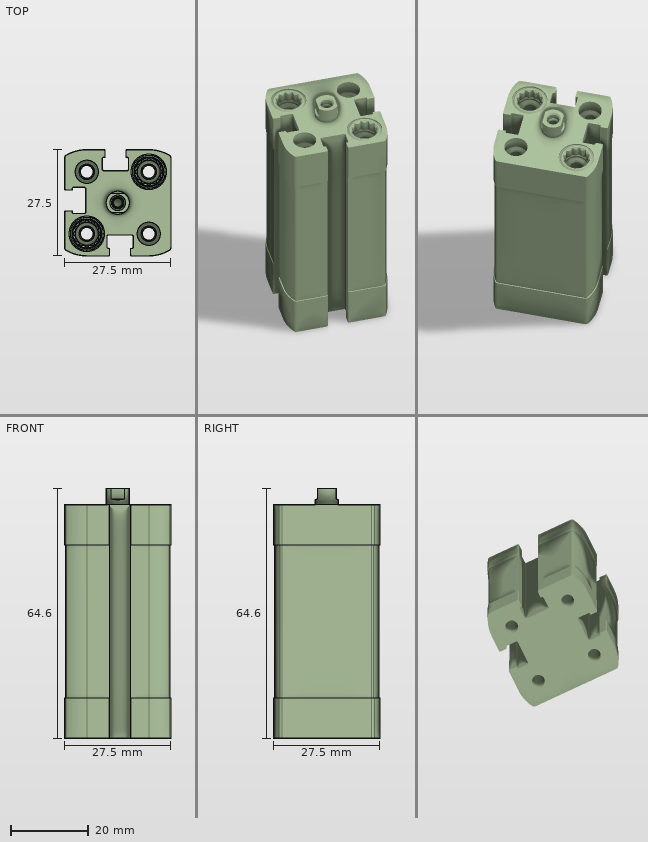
import cadquery as cq
import math

total_height = 64.6
width = 27.5
rod_projection = 4.2
housing_height = total_height - rod_projection
cap_height = 10.45
barrel_height = housing_height - 2 * cap_height
barrel_inset = 0.25

half_width = width / 2
corner_arc_radius = 10.5
corner_arc_center = 8.0
corner_blend_radius = 0.85

slot_depth = 5.4
slot_lip = 2.0
slot_mouth_width = 5.35
slot_inner_width = 6.7
slot_mouth_rounding = 0.3
slot_inner_fillet = 0.3
slot_offset = 0.6
slots = [(0, -slot_offset), (90, slot_offset), (180, -slot_offset)]

hole_spacing = 16.0
hole_position = hole_spacing / 2
hole_diameter = 3.3
hole_chamfer_diameter = 4.0
counterbore_diameter = 6.0
counterbore_depth = 3.5
counterbored_corners = [(-hole_position, hole_position), (hole_position, -hole_position)]
socket_corners = [(-hole_position, -hole_position), (hole_position, hole_position)]

groove_outer_radius = 4.6
groove_floor_radius = 4.25
groove_inner_radius = 3.9
groove_depth = groove_floor_radius - groove_inner_radius
socket_points = 12
socket_valley_radius = 3.55
socket_ridge_radius = 3.05
socket_ridge_angle = 45.0
socket_depth = 2.9
socket_countersink_radius = 3.6
socket_floor_radius = 3.0

rod_diameter = 6.0
rod_flats = 4.9
rod_flat_length = 3.0
rod_flat_slope = 0.25
rod_insertion = cap_height
rod_length = rod_projection + rod_insertion
thread_chamfer_radius = 2.0
thread_relief_radius = 1.6
thread_relief_depth = 1.8
thread_ledge_radius = 1.35
thread_core_diameter = 2.25
thread_core_radius = thread_core_diameter / 2
thread_core_depth = 5.8
drill_slope = math.tan(math.radians(30))


def housing_outline(inset):
    """Square prism section with the four corners rounded by large arcs."""
    side = half_width - inset
    radius = corner_arc_radius - inset
    arc_run = side - corner_arc_center
    corner_y = side - radius + math.sqrt(radius**2 - arc_run**2)
    mid_run = arc_run / 2
    mid_x = corner_arc_center + mid_run
    mid_y = side - radius + math.sqrt(radius**2 - mid_run**2)
    return (
        cq.Workplane("XY")
        .moveTo(-corner_arc_center, side)
        .lineTo(corner_arc_center, side)
        .threePointArc((mid_x, mid_y), (side, corner_y))
        .lineTo(side, -corner_y)
        .threePointArc((mid_x, -mid_y), (corner_arc_center, -side))
        .lineTo(-corner_arc_center, -side)
        .threePointArc((-mid_x, -mid_y), (-side, -corner_y))
        .lineTo(-side, corner_y)
        .threePointArc((-mid_x, mid_y), (-corner_arc_center, side))
        .close()
    )


def slot_cutter(inset, height, turn, shift):
    """T-slot with a rounded mouth, made in the +Y side and then turned about Z."""
    side = half_width - inset
    rounding = slot_mouth_rounding - inset
    half_mouth = slot_mouth_width / 2
    arc_step = rounding * (1 - math.sqrt(0.5))
    mouth = (
        cq.Workplane("XY")
        .moveTo(-half_mouth - rounding, side)
        .threePointArc((-half_mouth - arc_step, side - arc_step), (-half_mouth, side - rounding))
        .lineTo(-half_mouth, half_width - slot_depth)
        .lineTo(half_mouth, half_width - slot_depth)
        .lineTo(half_mouth, side - rounding)
        .threePointArc((half_mouth + arc_step, side - arc_step), (half_mouth + rounding, side))
        .close()
        .extrude(height)
    )
    inner_length = slot_depth - slot_lip
    inner = (
        cq.Workplane("XY")
        .center(0, half_width - slot_depth + inner_length / 2)
        .rect(slot_inner_width, inner_length)
        .extrude(height)
        .edges("|Z")
        .fillet(slot_inner_fillet)
    )
    return mouth.union(inner).translate((shift, 0, 0)).rotate((0, 0, 0), (0, 0, 1), turn)


def housing_section(inset, base_z, height):
    """One length of the housing, with its slots."""
    blend = corner_blend_radius - inset
    section = housing_outline(inset).extrude(height)
    section = section.edges("|Z").edges("<X or >X").fillet(blend)
    for turn, shift in slots:
        section = section.cut(slot_cutter(inset, height, turn, shift))
    return section.translate((0, 0, base_z))


def through_hole_cutter():
    """Corner hole with a chamfer where it meets the floor of the recess above it."""
    floor_z = housing_height - counterbore_depth
    chamfer = (hole_chamfer_diameter - hole_diameter) / 2
    return (
        cq.Workplane("XZ")
        .lineTo(hole_diameter / 2, 0)
        .lineTo(hole_diameter / 2, floor_z - chamfer)
        .lineTo(hole_chamfer_diameter / 2, floor_z)
        .lineTo(0, floor_z)
        .close()
        .revolve(360, (0, 0), (0, 1))
    )


def counterbore_cutter():
    floor_z = housing_height - counterbore_depth
    return (
        cq.Workplane("XY", origin=(0, 0, floor_z))
        .circle(counterbore_diameter / 2)
        .extrude(counterbore_depth)
    )


def groove_cutter():
    """Ring groove with a straight outer wall and a sloped inner side."""
    floor_z = housing_height - groove_depth
    return (
        cq.Workplane("XZ")
        .moveTo(groove_inner_radius, housing_height)
        .lineTo(groove_floor_radius, floor_z)
        .lineTo(groove_outer_radius, floor_z)
        .lineTo(groove_outer_radius, housing_height)
        .close()
        .revolve(360, (0, 0), (0, 1))
    )


def socket_cutter():
    """Star-shaped socket with a 45 degree countersink and a round floor recess."""
    half_pitch = 180 / socket_points
    star = []
    for index in range(socket_points):
        ridge = math.radians(socket_ridge_angle + 2 * index * half_pitch)
        valley = ridge + math.radians(half_pitch)
        star.append((socket_ridge_radius * math.cos(ridge), socket_ridge_radius * math.sin(ridge)))
        star.append((socket_valley_radius * math.cos(valley), socket_valley_radius * math.sin(valley)))
    star_z = housing_height - socket_depth
    floor_z = housing_height - counterbore_depth
    countersink_z = housing_height - (socket_countersink_radius - socket_floor_radius)
    points = cq.Workplane("XY", origin=(0, 0, star_z)).polyline(star).close().extrude(socket_depth)
    countersink = (
        cq.Workplane("XZ")
        .moveTo(0, housing_height)
        .lineTo(socket_countersink_radius, housing_height)
        .lineTo(socket_floor_radius, countersink_z)
        .lineTo(0, countersink_z)
        .close()
        .revolve(360, (0, 0), (0, 1))
    )
    recess = (
        cq.Workplane("XY", origin=(0, 0, floor_z))
        .circle(socket_floor_radius)
        .extrude(counterbore_depth)
    )
    return points.union(countersink).union(recess)


def make_housing():
    barrel_z = cap_height
    top_cap_z = cap_height + barrel_height
    housing = housing_section(0, 0, cap_height)
    housing = housing.union(housing_section(barrel_inset, barrel_z, barrel_height))
    housing = housing.union(housing_section(0, top_cap_z, cap_height))
    for x, y in counterbored_corners + socket_corners:
        housing = housing.cut(through_hole_cutter().translate((x, y, 0)))
    for x, y in counterbored_corners:
        housing = housing.cut(counterbore_cutter().translate((x, y, 0)))
    for x, y in socket_corners:
        housing = housing.cut(groove_cutter().translate((x, y, 0)))
        housing = housing.cut(socket_cutter().translate((x, y, 0)))
    rod_bore = (
        cq.Workplane("XY", origin=(0, 0, housing_height - rod_insertion))
        .circle(rod_diameter / 2)
        .extrude(rod_insertion)
    )
    return housing.cut(rod_bore)


def flat_cutter():
    """Material beyond the +Y flat of the rod, ending in a slope that runs out at the rod surface."""
    flat_y = rod_flats / 2
    rod_radius = rod_diameter / 2
    foot_z = total_height - rod_flat_length
    return (
        cq.Workplane("YZ")
        .moveTo(flat_y, total_height)
        .lineTo(flat_y, foot_z + rod_flat_slope)
        .lineTo(rod_radius, foot_z)
        .lineTo(rod_radius, total_height)
        .close()
        .extrude(rod_radius, both=True)
    )


def thread_hole_cutter():
    """Chamfered entry, wide relief with a flat ledge, then the thread core with a drill tip."""
    chamfer = thread_chamfer_radius - thread_relief_radius
    step_height = thread_ledge_radius - thread_core_radius
    tip_height = thread_core_radius * drill_slope
    relief_z = total_height - thread_relief_depth
    core_z = total_height - thread_core_depth
    return (
        cq.Workplane("XZ")
        .moveTo(0, total_height)
        .lineTo(thread_chamfer_radius, total_height)
        .lineTo(thread_relief_radius, total_height - chamfer)
        .lineTo(thread_relief_radius, relief_z)
        .lineTo(thread_ledge_radius, relief_z)
        .lineTo(thread_core_radius, relief_z - step_height)
        .lineTo(thread_core_radius, core_z)
        .lineTo(0, core_z - tip_height)
        .close()
        .revolve(360, (0, 0), (0, 1))
    )


def make_rod():
    rod = (
        cq.Workplane("XY", origin=(0, 0, total_height - rod_length))
        .circle(rod_diameter / 2)
        .extrude(rod_length)
    )
    for turn in (0, 180):
        rod = rod.cut(flat_cutter().rotate((0, 0, 0), (0, 0, 1), turn))
    return rod.cut(thread_hole_cutter())


housing = make_housing()
rod = make_rod()
result = cq.Compound.makeCompound([housing.val(), rod.val()])